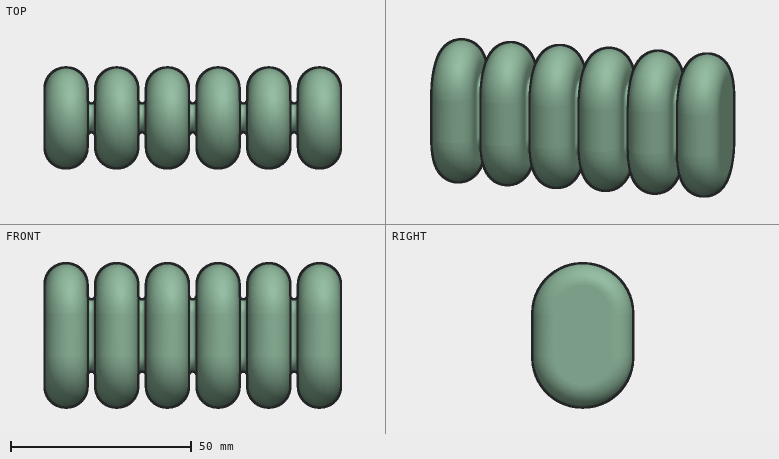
import cadquery as cq

bead_count = 6
bead_width = 12.0
bead_radius = 14.0
end_center_height = 6.0
gap = 2.0
neck_radius = 4.0

pitch = bead_width + gap
rim_radius = bead_width / 2
face_radius = bead_radius - rim_radius
neck_fillet = gap / 2
total_length = bead_count * bead_width + (bead_count - 1) * gap
start_x = -total_length / 2


def add_bead(outline, left):
    """Run up the flat face, over the full-round rim and down the far face."""
    right = left + bead_width
    crown = (left + rim_radius, bead_radius)
    return (
        outline.lineTo(left, face_radius)
        .threePointArc(crown, (right, face_radius))
    )


def add_neck(outline, left):
    """Run down to the neck and across it as two fillets that form one half circle."""
    waist = (left + neck_fillet, neck_radius)
    fillet_top = neck_radius + neck_fillet
    return (
        outline.lineTo(left, fillet_top)
        .threePointArc(waist, (left + gap, fillet_top))
    )


def half_profile():
    """Region between the X axis and the bead-and-neck outline, in the XY plane."""
    outline = cq.Workplane("XY").moveTo(start_x, 0)
    for index in range(bead_count):
        left = start_x + index * pitch
        outline = add_bead(outline, left)
        if index < bead_count - 1:
            outline = add_neck(outline, left + bead_width)
    return outline.lineTo(start_x + total_length, 0).close()


def quarter_cap():
    """Quarter turn of the profile around the upper end-arc axis (+Y, +Z quadrant)."""
    return (
        half_profile()
        .revolve(90, (0, 0, 0), (1, 0, 0))
        .translate((0, 0, end_center_height))
    )


band = (
    half_profile()
    .extrude(2 * end_center_height)
    .translate((0, 0, -end_center_height))
)

upper_cap = quarter_cap()
lower_cap = upper_cap.mirror("XY")
half = band.union(upper_cap).union(lower_cap)

result = half.union(half.mirror("XZ"))